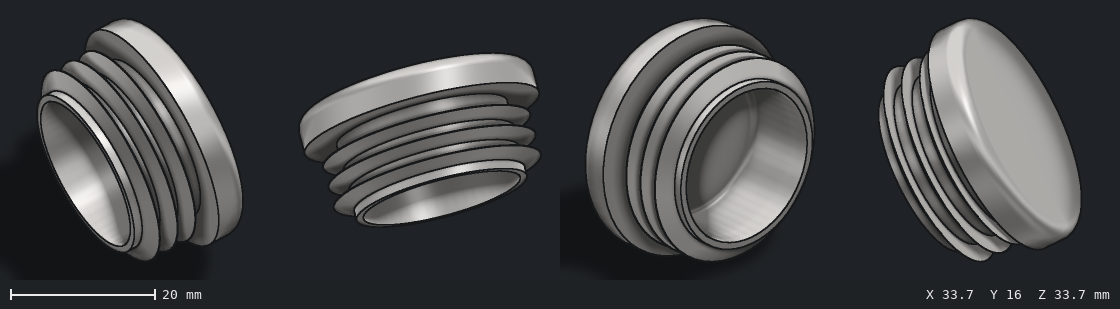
import cadquery as cq

total_length = 16.0

cap_diameter = 33.7
cap_thickness = 5.0
cap_edge_radius = 2.0

stem_diameter = 24.5
bore_diameter = 22.5
floor_thickness = 5.0
floor_fillet_radius = 1.0

fin_diameter = 29.8
fin_root_width = 1.25
fin_tip_width = 0.085
fin_pitch = 2.95
fin_count = 3
first_fin_gap = 2.53

cap_top = total_length / 2
cap_underside = cap_top - cap_thickness
open_end = -total_length / 2


def cylinder(diameter, start, end):
    """Solid cylinder on the Y axis between two Y positions."""
    plane = cq.Workplane("XZ", origin=(0, end, 0))
    return plane.circle(diameter / 2).extrude(end - start)


def make_cap():
    return cylinder(cap_diameter, cap_underside, cap_top).faces(">Y").edges().fillet(cap_edge_radius)


def make_bore():
    floor = cap_top - floor_thickness
    return cylinder(bore_diameter, open_end, floor).faces(">Y").edges().fillet(floor_fillet_radius)


def make_fin(flat_face):
    """Ring, flat toward the cap and conical toward the open end, with a rounded tip."""
    bore_radius = bore_diameter / 2
    stem_radius = stem_diameter / 2
    fin_radius = fin_diameter / 2
    tip_radius = fin_tip_width / 2
    rounding_start = fin_radius - tip_radius
    return (
        cq.Workplane("XY")
        .moveTo(bore_radius, flat_face)
        .lineTo(rounding_start, flat_face)
        .threePointArc((fin_radius, flat_face - tip_radius), (rounding_start, flat_face - fin_tip_width))
        .lineTo(stem_radius, flat_face - fin_root_width)
        .lineTo(bore_radius, flat_face - fin_root_width)
        .close()
        .revolve(360, (0, 0, 0), (0, 1, 0))
    )


plug = make_cap().union(cylinder(stem_diameter, open_end, cap_underside))
for index in range(fin_count):
    plug = plug.union(make_fin(cap_underside - first_fin_gap - index * fin_pitch))

result = plug.cut(make_bore())